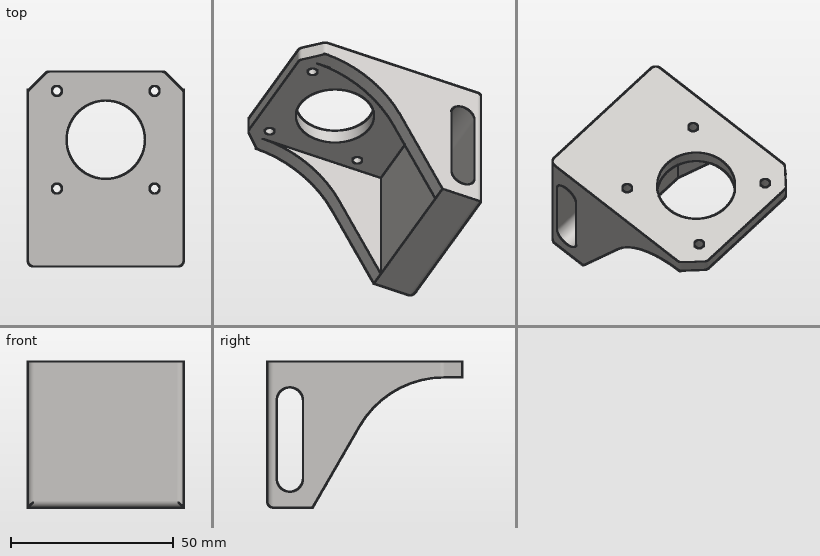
import cadquery as cq
import math

width = 48.0
depth = 60.0
height = 45.0

plate_thickness = 5.0
corner_radius = 2.0
corner_cut = 6.0

block_depth = 14.0
slot_width = 8.0
slot_length = 32.0
slot_bottom_z = 5.0
slot_center_y = block_depth / 2
slot_center_z = slot_bottom_z + slot_length / 2

rib_thickness = 5.0
rib_angle = 60.0
rib_radius = 30.0

bore_diameter = 24.0
bore_y = 39.0
screw_diameter = 3.0
screw_spacing = 30.0

plate_bottom = height - plate_thickness
joint_overlap = 0.6


def make_plate():
    """Top plate with cut rear corners, all outline corners rounded."""
    half = width / 2
    outline = [
        (-half, 0),
        (half, 0),
        (half, depth - corner_cut),
        (half - corner_cut, depth),
        (corner_cut - half, depth),
        (-half, depth - corner_cut),
    ]
    plate = cq.Workplane("XY").workplane(offset=plate_bottom).polyline(outline).close()
    return plate.extrude(plate_thickness).edges("|Z").fillet(corner_radius)


def make_block():
    """Front block with rounded upright edges and a rounded lower front edge."""
    block_height = plate_bottom + joint_overlap
    upright = (
        cq.Workplane("XY")
        .box(width, block_depth, block_height, centered=(True, False, False))
    )
    rounded_below = upright.edges("|X and <Y and <Z").fillet(corner_radius)
    return upright.edges("|Z and <Y").fillet(corner_radius).intersect(rounded_below)


def make_rib():
    """Rib on the -X side: sloped edge blending by an arc into the plate underside."""
    slope = math.radians(rib_angle)
    slope_top_y = block_depth + plate_bottom / math.tan(slope)
    tangent_length = rib_radius * math.tan(slope / 2)
    arc_end_y = slope_top_y + tangent_length
    arc_start = (
        slope_top_y - tangent_length * math.cos(slope),
        plate_bottom - tangent_length * math.sin(slope),
    )
    arc_middle = (
        arc_end_y - rib_radius * math.sin(slope / 2),
        plate_bottom - rib_radius * (1 - math.cos(slope / 2)),
    )
    inside_y = block_depth - joint_overlap
    inside_z = plate_bottom + joint_overlap
    return (
        cq.Workplane("YZ", origin=(-width / 2, 0, 0))
        .moveTo(inside_y, 0)
        .lineTo(block_depth, 0)
        .lineTo(*arc_start)
        .threePointArc(arc_middle, (arc_end_y, plate_bottom))
        .lineTo(slope_top_y, inside_z)
        .lineTo(inside_y, inside_z)
        .close()
        .extrude(rib_thickness)
    )


def cut_plate_holes(body):
    """Central bore and a square pattern of four screw holes through the plate."""
    top = cq.Workplane("XY", origin=(0, bore_y, plate_bottom))
    bore = top.circle(bore_diameter / 2).extrude(plate_thickness)
    screws = (
        top.rect(screw_spacing, screw_spacing, forConstruction=True)
        .vertices()
        .circle(screw_diameter / 2)
        .extrude(plate_thickness)
    )
    return body.cut(bore).cut(screws)


def cut_side_slot(body):
    """Upright slot running through the block along X."""
    slot = (
        cq.Workplane("YZ")
        .center(slot_center_y, slot_center_z)
        .slot2D(slot_length, slot_width, 90)
        .extrude(width / 2, both=True)
    )
    return body.cut(slot)


rib = make_rib()
body = make_plate().union(make_block()).union(rib).union(rib.mirror("YZ"))
result = cut_side_slot(cut_plate_holes(body))